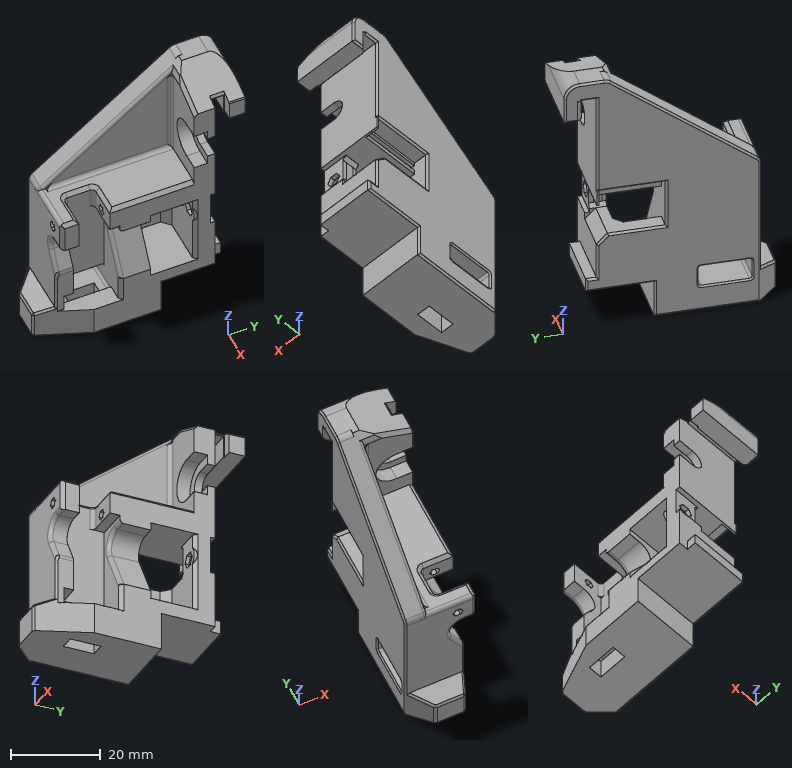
import cadquery as cq
import math

WIDTH = 17.7
DEPTH = 50.1
HEIGHT = 65.35
EDGE = 0.49
ROUND = 0.9

REACH = 0.65
TIGHT = 0.05

PLATE_X = 5.6
FRONT_Y = 4.8
SLOPE_TOP_Y = 40.0
SLOPE_END_Z = 38.2
SHELF_Z = 38.35
SLOPE_TOP_ROUND = 2.6
SLOPE_END_ROUND = 1.95
SHELF_ROUND = 1.05
RIB_ROUND = 0.8
ROOT_ROUND = 1.05

WALL_Y = 37.5
REAR_Y = 42.65
HOOK_INNER_Y = 45.9
HOOK_BOTTOM_Z = 55.4
HOOK_GAP_Z = 60.75
HOOK_ROUND = 3.6
HOOK_CORNER_CUT = 1.25
STEP_Y = 45.15
STEP_BOTTOM_Z = 9.2
STEP_TOP_Z = 12.55
BASE_REAR_Y = 29.4
TOP_END_Z = 60.4
HOOK_SLIT_X = 15.3
HOOK_SLIT_END_Y = 46.1

NOTCH_Y = 26.8
NOTCH_BOTTOM_Z = 24.0
NOTCH_TOP_Z = 35.8
NOTCH_BEVEL = 2.55
NOTCH_DEPTH = 4.0
CHAMBER_BEVEL = 1.95
ROOF_Z = 32.15
SHEET = 0.5
GROOVE_BOTTOM_Z = 33.4
GROOVE_HEIGHT = 1.6
GROOVE_DEPTH = 1.0

POST_X = 11.8
POST_REAR_Y = 41.55
POST_FLARE = 0.9
SCREW_X = 14.75
SCREW_Z = 26.8
SCREW_CIRCLE = 3.65
SCREW_PAD_R = 2.9
NUT_Y = 38.4
NUT_THICKNESS = 2.0

SADDLE_X = 13.7
SADDLE_Z = 48.2
SADDLE_R = 2.8
SEAT_R = 5.15
SEAT_DEPTH = 3.25

WINDOW_X = 9.4
WINDOW_FRONT_Y = 9.15
WINDOW_REAR_Y = 16.7
WINDOW_ROUND = 1.0
FLOOR_Z = 7.6
DROP_X = 13.0

SIDE_FRONT_Y = 6.8
SIDE_REAR_Y = 19.2
SIDE_BOTTOM_Z = 6.4
SIDE_TOP_Z = 11.75
SIDE_ROUND = 0.65
SIDE_BEVEL = 0.4

DROP_R = 3.45
DROP_TIP_Z = 14.5
CORNER_X = 14.75

HOLE_X = 13.15
HOLE_Z = 34.2
HOLE_CIRCLE = 2.4
HOLE_END_Y = 22.9

FOOT_CORNER = FRONT_Y + EDGE
FOOT_TIP_RIGHT_X = 12.75
FOOT_SLANT_END_Y = 12.9
FOOT_TIP_Z = 6.7
FOOT_ROOT_Z = 8.75
FOOT_ROUND = 0.45


def box(x0, x1, y0, y1, z0, z1):
    """Block between two corners."""
    return cq.Workplane("XY").box(x1 - x0, y1 - y0, z1 - z0, centered=False).translate((x0, y0, z0))


def prism_x(points, x0, x1):
    """Outline in Y and Z, extruded along X."""
    return cq.Workplane("YZ").workplane(offset=x0).polyline(points).close().extrude(x1 - x0)


def prism_y(points, y0, y1):
    """Outline in X and Z, extruded along Y."""
    return cq.Workplane("XZ").workplane(offset=-y0).polyline(points).close().extrude(y0 - y1)


def hexagon_y(x, z, across, y0, y1):
    """Hexagonal prism along Y with corners to the left and right."""
    return cq.Workplane("XZ").workplane(offset=-y0).center(x, z).polygon(6, across).extrude(y0 - y1)


def edges_near(part, y, z, direction):
    """Edges along one direction that lie at the given Y and Z."""
    zone = cq.selectors.BoxSelector((-REACH, y - REACH, z - REACH), (WIDTH + REACH, y + REACH, z + REACH))
    return part.edges(zone).edges(direction)


HOOK_OUTLINE = [
    (DEPTH, HEIGHT),
    (DEPTH, HOOK_BOTTOM_Z),
    (HOOK_INNER_Y, HOOK_BOTTOM_Z),
    (HOOK_INNER_Y, HOOK_GAP_Z),
    (REAR_Y, HOOK_GAP_Z),
]
NOTCH_OUTLINE = [
    (REAR_Y, NOTCH_TOP_Z),
    (NOTCH_Y, NOTCH_TOP_Z),
    (NOTCH_Y, NOTCH_BOTTOM_Z),
    (REAR_Y - NOTCH_BEVEL, NOTCH_BOTTOM_Z),
    (REAR_Y, NOTCH_BOTTOM_Z - NOTCH_BEVEL),
]
STEP_OUTLINE = [
    (REAR_Y, STEP_TOP_Z),
    (STEP_Y, STEP_TOP_Z),
    (STEP_Y, STEP_BOTTOM_Z),
    (BASE_REAR_Y, STEP_BOTTOM_Z),
    (BASE_REAR_Y, 0),
    (FRONT_Y, 0),
]
SLOPE_OUTLINE = [(FRONT_Y, SLOPE_END_Z), (SLOPE_TOP_Y, HEIGHT)]


def round_slope_ends(part):
    """Round the hook and both ends of the slope."""
    part = edges_near(part, DEPTH, HEIGHT, "|X").fillet(HOOK_ROUND)
    part = edges_near(part, SLOPE_TOP_Y, HEIGHT, "|X").fillet(SLOPE_TOP_ROUND)
    return edges_near(part, FRONT_Y, SLOPE_END_Z, "|X").fillet(SLOPE_END_ROUND)


def make_plate():
    """Outer layer with the notch and the beveled rim."""
    plate = prism_x(HOOK_OUTLINE + NOTCH_OUTLINE + STEP_OUTLINE + SLOPE_OUTLINE, 0, NOTCH_DEPTH)
    plate = round_slope_ends(plate).faces("<X").chamfer(EDGE)
    corner_cut = (
        cq.Workplane("XY").workplane(offset=HOOK_BOTTOM_Z)
        .polyline([(0, HOOK_INNER_Y), (0, HOOK_INNER_Y + HOOK_CORNER_CUT), (HOOK_CORNER_CUT, HOOK_INNER_Y)])
        .close().extrude(HOOK_GAP_Z - HOOK_BOTTOM_Z)
    )
    return plate.cut(corner_cut)


def make_rib():
    """Inner layer of the sloped part, standing above the shelf."""
    base = [(REAR_Y, ROOF_Z), (FRONT_Y, ROOF_Z)]
    rib = round_slope_ends(prism_x(HOOK_OUTLINE + base + SLOPE_OUTLINE, NOTCH_DEPTH, PLATE_X))
    inner_edge = cq.selectors.BoxSelector(
        (PLATE_X - EDGE, FRONT_Y + REACH, SHELF_Z),
        (PLATE_X + EDGE, SLOPE_TOP_Y - REACH, HEIGHT - REACH),
    )
    return rib.edges(inner_edge).fillet(RIB_ROUND)


def make_root_fillets():
    """Hollow corners where the rib stands on the shelf and meets the rear wall."""
    far_x = PLATE_X + ROOT_ROUND
    along_shelf = box(PLATE_X - EDGE, far_x, FRONT_Y, WALL_Y, SHELF_Z - EDGE, SHELF_Z + ROOT_ROUND)
    shelf_hollow = (
        cq.Workplane("XZ").center(far_x, SHELF_Z + ROOT_ROUND).circle(ROOT_ROUND).extrude(-WALL_Y)
    )
    along_wall = box(PLATE_X - EDGE, far_x, WALL_Y - ROOT_ROUND, WALL_Y + EDGE, SHELF_Z - EDGE, HEIGHT)
    wall_hollow = cq.Workplane("XY").center(far_x, WALL_Y - ROOT_ROUND).circle(ROOT_ROUND).extrude(HEIGHT)
    below_slope = prism_x(
        [(FRONT_Y + SHELF_ROUND, 0)] + [(y + ROOT_ROUND, z - EDGE) for y, z in SLOPE_OUTLINE] + [(REAR_Y, 0)],
        0, WIDTH,
    )
    return along_shelf.cut(shelf_hollow).union(along_wall.cut(wall_hollow)).intersect(below_slope)


def make_block():
    """Shelf, rear wall and hook up to the open side, before any opening is cut."""
    slope = (HEIGHT - SLOPE_END_Z) / (SLOPE_TOP_Y - FRONT_Y)
    wall_top_z = HEIGHT - slope * (SLOPE_TOP_Y - WALL_Y)
    shelf_and_wall = [(FRONT_Y, SHELF_Z), (WALL_Y, SHELF_Z), (WALL_Y, wall_top_z), (SLOPE_TOP_Y, HEIGHT)]
    block = prism_x(HOOK_OUTLINE + STEP_OUTLINE + shelf_and_wall, NOTCH_DEPTH, WIDTH)
    block = edges_near(block, DEPTH, HEIGHT, "|X").fillet(HOOK_ROUND)
    block = edges_near(block, FRONT_Y, SHELF_Z, "|X").fillet(SHELF_ROUND)
    top_slant = prism_y([(PLATE_X, HEIGHT), (WIDTH, HEIGHT), (WIDTH, TOP_END_Z)], 0, DEPTH)
    block = block.cut(top_slant)
    block = cut_drop_opening(block)
    top_front = cq.selectors.BoxSelector(
        (PLATE_X + REACH, WALL_Y - EDGE, TOP_END_Z), (WIDTH - REACH, WALL_Y + EDGE, HEIGHT)
    )
    return block.edges(top_front).chamfer(ROUND)


def open_side_bevel(y, z0, z1):
    """Cutter that bevels an upright edge of the open side."""
    corner = cq.Workplane("XY").workplane(offset=z0).center(WIDTH, y)
    return corner.polyline([(-ROUND, 0), (0, -ROUND), (ROUND, 0), (0, ROUND)]).close().extrude(z1 - z0)


def bevel_open_side(part):
    """Bevel the shelf, the front wall and the inner walls along the open side."""
    above_drop = SCREW_Z + DROP_R
    part = part.cut(open_side_bevel(FRONT_Y, above_drop, SHELF_Z))
    part = part.cut(open_side_bevel(SIDE_REAR_Y, FLOOR_Z, DROP_TIP_Z))
    part = part.cut(open_side_bevel(WALL_Y, STEP_TOP_Z, ROOF_Z))
    shelf_edge = [(WIDTH - ROUND, SHELF_Z), (WIDTH, SHELF_Z), (WIDTH, SHELF_Z - ROUND)]
    part = part.cut(prism_y(shelf_edge, FRONT_Y, WALL_Y))
    screw_pad = cq.Workplane("XZ").workplane(offset=-WALL_Y).center(SCREW_X, SCREW_Z).circle(SCREW_PAD_R)
    screw_pad = screw_pad.extrude(WALL_Y - POST_REAR_Y)
    return part.union(screw_pad.intersect(box(POST_X, WIDTH, WALL_Y, POST_REAR_Y, 0, HEIGHT)))


def make_foot():
    """Pointed foot in front of the plate, with a sloped roof and slanted sides."""
    slant = (WIDTH - FOOT_TIP_RIGHT_X) / FOOT_SLANT_END_Y
    foot_right = (FOOT_TIP_RIGHT_X + slant * FOOT_CORNER, FOOT_CORNER)
    foot = (
        cq.Workplane("XY")
        .polyline([(0, FOOT_CORNER), (FOOT_CORNER, 0), (FOOT_TIP_RIGHT_X, 0), foot_right])
        .close().extrude(FOOT_ROOT_Z)
    )
    roof = prism_x(
        [(0, FOOT_TIP_Z), (FRONT_Y, FOOT_ROOT_Z), (FRONT_Y, HEIGHT), (0, HEIGHT)], 0, WIDTH
    )
    foot = foot.cut(roof)
    free_edges = cq.selectors.BoxSelector((REACH, -REACH, REACH), (WIDTH, FRONT_Y - REACH, FOOT_ROOT_Z))
    return foot.edges(free_edges).chamfer(FOOT_ROUND)


def make_drop_opening():
    """Round opening that is open to the side, with a sloped lower edge touching the circle."""
    drop = cq.Workplane("XZ").center(SCREW_X, SCREW_Z).circle(DROP_R).extrude(-NOTCH_Y)
    top_z = SCREW_Z + DROP_R
    reach_x = WIDTH - SCREW_X
    reach_z = SCREW_Z - DROP_TIP_Z
    reach = math.hypot(reach_x, reach_z)
    tangent_angle = math.atan2(-reach_z, reach_x) - math.acos(DROP_R / reach)
    tangent = (SCREW_X + DROP_R * math.cos(tangent_angle), SCREW_Z + DROP_R * math.sin(tangent_angle))
    sector = prism_y(
        [(SCREW_X, SCREW_Z), tangent, (WIDTH, DROP_TIP_Z), (WIDTH, top_z), (SCREW_X, top_z)],
        0, NOTCH_Y,
    )
    return drop.union(sector)


def cut_drop_opening(part):
    """Cut the opening in the front wall and the wall behind, with rounded front rims."""
    pocket = box(WINDOW_X, WIDTH, WINDOW_FRONT_Y, SIDE_REAR_Y, FLOOR_Z, ROOF_Z)
    part = part.cut(pocket).cut(make_drop_opening())
    for y in (FRONT_Y, SIDE_REAR_Y):
        rim = cq.selectors.BoxSelector(
            (SCREW_X - DROP_R - REACH, y - TIGHT, DROP_TIP_Z - REACH),
            (WIDTH - TIGHT, y + TIGHT, SCREW_Z + DROP_R + REACH),
        )
        part = part.edges(rim).fillet(ROUND)
    part = part.cut(box(CORNER_X, WIDTH, 0, WINDOW_FRONT_Y, FLOOR_Z, SCREW_Z))
    corner = cq.selectors.BoxSelector(
        (CORNER_X - TIGHT, FRONT_Y - TIGHT, FLOOR_Z), (CORNER_X + TIGHT, FRONT_Y + TIGHT, SCREW_Z)
    )
    return part.edges(corner).edges("|Z").chamfer(EDGE)


def cut_front_pocket(part):
    """Pocket behind the front wall, its top window and the window through the plate."""
    window = box(WINDOW_X, WIDTH, WINDOW_FRONT_Y, WINDOW_REAR_Y, FLOOR_Z, SHELF_Z)
    part = part.cut(window.edges("|Z and <X").fillet(WINDOW_ROUND))
    part = part.cut(box(WINDOW_X, DROP_X, WINDOW_FRONT_Y, WINDOW_REAR_Y, 0, FLOOR_Z))
    rim = cq.selectors.BoxSelector(
        (WINDOW_X - REACH, WINDOW_FRONT_Y - REACH, SHELF_Z - EDGE / 2),
        (WIDTH - EDGE, WINDOW_REAR_Y + REACH, SHELF_Z + EDGE / 2),
    )
    part = part.edges(rim).chamfer(ROUND)
    side_low = box(0, DROP_X, SIDE_FRONT_Y, SIDE_REAR_Y, SIDE_BOTTOM_Z, SIDE_TOP_Z)
    side_low = side_low.edges("|X").fillet(SIDE_ROUND)
    side_high = box(DROP_X, WIDTH, SIDE_FRONT_Y, SIDE_REAR_Y, FLOOR_Z, SIDE_TOP_Z)
    part = part.cut(side_low).cut(side_high)
    side_rim = cq.selectors.BoxSelector(
        (-EDGE / 2, SIDE_FRONT_Y - REACH, SIDE_BOTTOM_Z - REACH),
        (EDGE / 2, SIDE_REAR_Y + REACH, SIDE_TOP_Z + REACH),
    )
    return part.edges(side_rim).chamfer(SIDE_BEVEL)


def cut_foot_slant(part):
    """Continue the slanted side of the foot through the floor of the pocket."""
    slant = (
        cq.Workplane("XY")
        .polyline([(FOOT_TIP_RIGHT_X, 0), (WIDTH, 0), (WIDTH, FOOT_SLANT_END_Y)])
        .close().extrude(FLOOR_Z)
    )
    return part.cut(slant)


def cut_rear_chamber(part):
    """Chamber behind the notch and the window that it opens in the rear wall."""
    chamber = box(NOTCH_DEPTH, WIDTH, NOTCH_Y, WALL_Y, STEP_TOP_Z, ROOF_Z)
    part = part.cut(chamber.edges("|Z and <X and >Y").chamfer(CHAMBER_BEVEL))
    part = part.cut(box(NOTCH_DEPTH, WIDTH, NOTCH_Y, WALL_Y, NOTCH_BOTTOM_Z, ROOF_Z))
    window = prism_y(
        [
            (NOTCH_DEPTH, NOTCH_BOTTOM_Z),
            (POST_X - POST_FLARE, NOTCH_BOTTOM_Z),
            (POST_X, NOTCH_BOTTOM_Z + POST_FLARE),
            (POST_X, ROOF_Z - POST_FLARE),
            (POST_X - POST_FLARE, ROOF_Z),
            (NOTCH_DEPTH, ROOF_Z),
        ],
        WALL_Y, REAR_Y,
    )
    part = part.cut(window)
    sill = [
        (REAR_Y - NOTCH_BEVEL, NOTCH_BOTTOM_Z),
        (REAR_Y, NOTCH_BOTTOM_Z),
        (REAR_Y, NOTCH_BOTTOM_Z - NOTCH_BEVEL),
    ]
    part = part.cut(prism_x(sill, NOTCH_DEPTH, POST_X - POST_FLARE))
    part = part.cut(box(POST_X - POST_FLARE, WIDTH, POST_REAR_Y, REAR_Y, NOTCH_BOTTOM_Z - POST_FLARE, ROOF_Z))
    groove_x = NOTCH_DEPTH + GROOVE_DEPTH
    groove_top = GROOVE_BOTTOM_Z + GROOVE_HEIGHT
    groove = box(NOTCH_DEPTH, groove_x, NOTCH_Y, REAR_Y - SHEET, GROOVE_BOTTOM_Z, groove_top)
    part = part.cut(groove)
    return part.union(box(0, NOTCH_DEPTH, REAR_Y - SHEET, REAR_Y, ROOF_Z, NOTCH_TOP_Z))


def cut_saddle(part):
    """U-shaped slot with a wider seat, open to the side."""
    for radius, depth in ((SADDLE_R, REAR_Y - WALL_Y), (SEAT_R, SEAT_DEPTH)):
        round_end = cq.Workplane("XZ").workplane(offset=-WALL_Y).center(SADDLE_X, SADDLE_Z)
        part = part.cut(round_end.circle(radius).extrude(-depth))
        part = part.cut(box(SADDLE_X, WIDTH, WALL_Y, WALL_Y + depth, SADDLE_Z - radius, SADDLE_Z + radius))
    return part


def cut_hook_slit(part):
    """Slit in the hook top beside the rear wall; the step below ends in line with it."""
    part = part.cut(box(HOOK_SLIT_X, WIDTH, REAR_Y, HOOK_SLIT_END_Y, 0, HEIGHT))
    rim = cq.selectors.BoxSelector(
        (HOOK_SLIT_X - EDGE, REAR_Y + REACH, HOOK_GAP_Z + EDGE), (HOOK_SLIT_X + EDGE, HOOK_INNER_Y, HEIGHT)
    )
    part = part.edges(rim).edges("|Y").chamfer(EDGE)
    hook_edge = [
        (WIDTH - EDGE, TOP_END_Z + EDGE),
        (WIDTH + EDGE, TOP_END_Z + EDGE),
        (WIDTH + EDGE, TOP_END_Z - 2 * EDGE),
    ]
    return part.cut(prism_y(hook_edge, HOOK_SLIT_END_Y, DEPTH))


def make_nut_space():
    """Slot for the nut, from the window side of the post to the open side."""
    bottom_z = NOTCH_BOTTOM_Z + POST_FLARE
    top_z = ROOF_Z - POST_FLARE
    return box(POST_X, WIDTH - ROUND, NUT_Y, NUT_Y + NUT_THICKNESS, bottom_z, top_z)


def make_housing():
    """Bracket with all its openings."""
    part = make_block().union(make_rib())
    part = part.union(make_root_fillets())
    part = part.union(make_plate())
    part = part.union(make_foot())
    part = cut_front_pocket(part)
    part = cut_foot_slant(part)
    part = cut_rear_chamber(part)
    part = bevel_open_side(part)
    part = cut_saddle(part)
    part = cut_hook_slit(part)
    part = part.cut(hexagon_y(SCREW_X, SCREW_Z, SCREW_CIRCLE, WALL_Y, REAR_Y))
    part = part.cut(hexagon_y(HOLE_X, HOLE_Z, HOLE_CIRCLE, 0, HOLE_END_Y))
    return part.cut(make_nut_space())


def make_nut():
    """Square nut that fills its slot in the post."""
    return make_nut_space().cut(hexagon_y(SCREW_X, SCREW_Z, SCREW_CIRCLE, WALL_Y, REAR_Y))


housing = make_housing()
nut = make_nut()
result = cq.Compound.makeCompound([housing.solids().val(), nut.solids().val()])